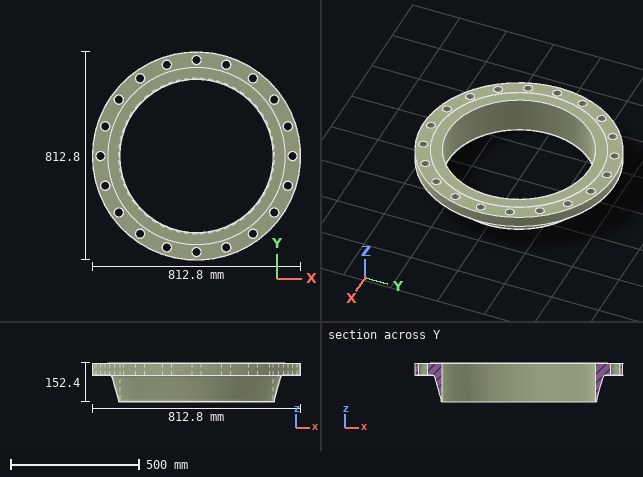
import cadquery as cq
import math

flange_diameter = 812.8
overall_height = 152.4
flange_thickness = 47.75
raised_face_diameter = 692.15
raised_face_height = 1.6
bore_diameter = 598.0

bolt_count = 20
bolt_circle_diameter = 749.3
bolt_hole_diameter = 35.0

hub_base_diameter = 663.6
weld_end_diameter = 609.6
weld_land_height = 6.0
weld_root_face = 1.6
weld_bevel_angle = 37.5
hub_fillet_radius = 10.0
selection_margin = 1.0

top_z = overall_height
shoulder_z = top_z - raised_face_height
flange_bottom_z = top_z - flange_thickness
bore_radius = bore_diameter / 2
weld_end_radius = weld_end_diameter / 2
root_radius = bore_radius + weld_root_face
bevel_height = (weld_end_radius - root_radius) * math.tan(math.radians(weld_bevel_angle))


def flange_body():
    """Revolve the flange, hub and bore section, drawn on the -X side, about Z."""
    section = (
        cq.Workplane("XZ")
        .moveTo(-bore_radius, 0)
        .lineTo(-root_radius, 0)
        .lineTo(-weld_end_radius, bevel_height)
        .lineTo(-weld_end_radius, bevel_height + weld_land_height)
        .lineTo(-hub_base_diameter / 2, flange_bottom_z)
        .lineTo(-flange_diameter / 2, flange_bottom_z)
        .lineTo(-flange_diameter / 2, shoulder_z)
        .lineTo(-raised_face_diameter / 2, shoulder_z)
        .lineTo(-raised_face_diameter / 2, top_z)
        .lineTo(-bore_radius, top_z)
        .close()
    )
    return section.revolve(360, (0, 0, 0), (0, 1, 0))


def round_hub_root(body):
    """Fillet the inside corner between the hub and the underside of the flange."""
    reach = flange_diameter
    near_flange_bottom = cq.selectors.BoxSelector(
        (-reach, -reach, flange_bottom_z - selection_margin),
        (reach, reach, flange_bottom_z + selection_margin),
        boundingbox=True,
    )
    smallest_circle = cq.selectors.RadiusNthSelector(0)
    return body.edges(near_flange_bottom).edges(smallest_circle).fillet(hub_fillet_radius)


def bolt_holes():
    """Through holes evenly spaced on the bolt circle, the first one on +X."""
    return (
        cq.Workplane("XY")
        .workplane(offset=flange_bottom_z)
        .polarArray(bolt_circle_diameter / 2, 0, 360, bolt_count)
        .circle(bolt_hole_diameter / 2)
        .extrude(flange_thickness)
    )


result = round_hub_root(flange_body()).cut(bolt_holes())